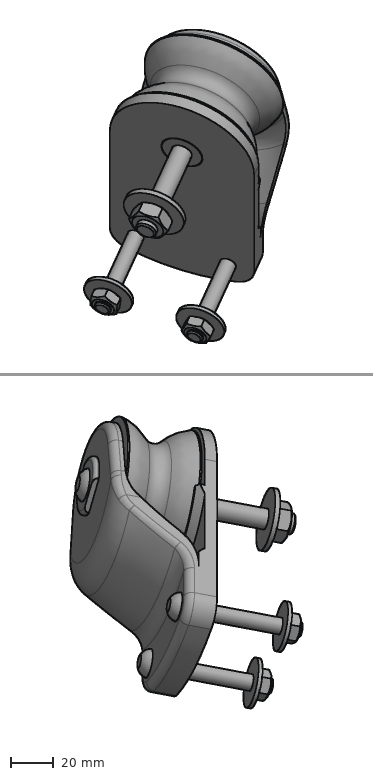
import cadquery as cq
import math


half_width = 36.0
overall_height = 131.5
plate_thickness = 6.0
corner_radius = 13.0
bolt_x = half_width - corner_radius
bolt_z = -79.0
bottom_z = half_width - overall_height

pad_height = 3.0
pad_top_z = -51.6
pad_face_y = plate_thickness + pad_height

strap_thickness = 6.25
foot_outer_y = pad_face_y + strap_thickness
cover_outer_y = 50.75
cover_inner_y = cover_outer_y - strap_thickness
bend_inner_radius = 10.0
bend_outer_radius = bend_inner_radius + strap_thickness
bend_angle = math.radians(60)
upper_bend_radius = 36.4
cover_top_radius = 31.3
taper_corner_z = -21.9
taper_blend_radius = 78.0
cover_edge_fillet = 4.0

guard_height = 4.0
guard_inner_radius = 35.5
guard_base_radius = 41.3
guard_top_z = -15.0

sheave_mid_y = 25.1
groove_bottom_radius = 25.0
groove_radius = 7.25
groove_half_width = 5.3
rim_radius = 34.5
rim_land = 0.8
rim_half_width = 18.1
hub_radius = 27.0
hub_half_width = 18.7

spindle_diameter = 20.0
spindle_hole_diameter = 20.5
flange_diameter = 28.2
flange_thickness = 2.75
flange_edge_fillet = 2.0
flange_across_flats = 22.0
flange_flat_angle = 60.0

washer_y = -35.0
hex_corner_ratio = 2 / math.sqrt(3)
nut_bevel_angle = math.radians(30)
tip_chamfer = 0.8
dome_fullness = 0.62

spindle_bolt = dict(
    diameter=10.0, tip_y=-48.5, washer_diameter=30.0, washer_thickness=2.5,
    nut_flats=17.0, nut_face_diameter=15.6, nut_height=8.0,
    head_radius=8.0, head_flat_radius=3.7, head_height=3.5,
)
foot_bolt = dict(
    diameter=8.0, tip_y=-45.0, washer_diameter=24.0, washer_thickness=2.0,
    nut_flats=13.0, nut_face_diameter=11.0, nut_height=6.5,
    head_radius=7.0, head_flat_radius=3.2, head_height=4.5,
)
spindle_nut_turn = 0.0
left_nut_turn = 33.5
right_nut_turn = -10.0


def cylinder(diameter, start_y, end_y, x=0.0, z=0.0):
    """Round bar along Y between two Y positions."""
    bar = cq.Workplane("XZ").circle(diameter / 2).extrude(-(end_y - start_y))
    return bar.translate((x, start_y, z))


def turned(profile):
    """Revolve an outline drawn as (radius, Y) about the sheave axis."""
    return profile.close().revolve(360, (0, 0, 0), (0, 1, 0))


def close_bottom(outline):
    """Finish an outline standing at the right side: rounded corners and a large bottom arc."""
    rise = bolt_z - bottom_z
    bottom_radius = (bolt_x**2 + rise**2 - corner_radius**2) / (2 * (rise - corner_radius))
    bottom_center_z = bottom_z + bottom_radius
    lean = math.atan2(bolt_x, bottom_center_z - bolt_z)
    joint_x = bolt_x + corner_radius * math.sin(lean)
    joint_z = bolt_z - corner_radius * math.cos(lean)
    middle = (math.pi / 2 - lean) / 2
    middle_x = bolt_x + corner_radius * math.cos(middle)
    middle_z = bolt_z - corner_radius * math.sin(middle)
    return (
        outline.lineTo(half_width, bolt_z)
        .threePointArc((middle_x, middle_z), (joint_x, joint_z))
        .threePointArc((0, bottom_z), (-joint_x, joint_z))
        .threePointArc((-middle_x, middle_z), (-half_width, bolt_z))
        .close()
    )


def make_plate():
    outline = cq.Workplane("XZ").moveTo(-half_width, 0)
    outline = outline.threePointArc((0, half_width), (half_width, 0))
    plate = close_bottom(outline).extrude(-plate_thickness)
    return plate.cut(cylinder(spindle_hole_diameter, 0, plate_thickness))


def make_pad():
    outline = cq.Workplane("XZ").moveTo(-half_width, pad_top_z).lineTo(half_width, pad_top_z)
    pad = close_bottom(outline).extrude(-pad_height).translate((0, plate_thickness, 0))
    slope = (
        cq.Workplane("YZ")
        .moveTo(plate_thickness, pad_top_z)
        .lineTo(pad_face_y, pad_top_z)
        .lineTo(pad_face_y, pad_top_z - pad_height)
        .close()
        .extrude(half_width, both=True)
    )
    return pad.cut(slope)


def make_guard():
    guard = turned(
        cq.Workplane("XY")
        .moveTo(guard_inner_radius, plate_thickness)
        .lineTo(guard_base_radius, plate_thickness)
        .lineTo(guard_base_radius - guard_height, plate_thickness + guard_height)
        .lineTo(guard_inner_radius, plate_thickness + guard_height)
    )
    keep = cq.Workplane("XY").box(
        2 * half_width, cover_outer_y, guard_base_radius + guard_top_z, centered=(True, False, False)
    )
    return guard.intersect(keep.translate((0, 0, -guard_base_radius)))


def make_cover():
    sine = math.sin(bend_angle)
    cosine = math.cos(bend_angle)
    half_sine = math.sin(bend_angle / 2)
    half_cosine = math.cos(bend_angle / 2)
    upper_center_y = cover_outer_y - bend_outer_radius
    lower_center_y = foot_outer_y + bend_inner_radius
    bend_sum = bend_inner_radius + bend_outer_radius
    slope_drop = upper_center_y - lower_center_y + bend_sum * cosine
    lower_bend_radius = upper_bend_radius + bend_sum * sine + slope_drop * cosine / sine

    def upper(radius, s, c):
        return upper_bend_radius + radius * s, upper_center_y + radius * c

    def lower(radius, s, c):
        return lower_bend_radius - radius * s, lower_center_y - radius * c

    strap_end = overall_height
    strap = turned(
        cq.Workplane("XY")
        .moveTo(0, cover_outer_y)
        .lineTo(upper_bend_radius, cover_outer_y)
        .threePointArc(
            upper(bend_outer_radius, half_sine, half_cosine), upper(bend_outer_radius, sine, cosine)
        )
        .lineTo(*lower(bend_inner_radius, sine, cosine))
        .threePointArc(lower(bend_inner_radius, half_sine, half_cosine), (lower_bend_radius, foot_outer_y))
        .lineTo(strap_end, foot_outer_y)
        .lineTo(strap_end, pad_face_y)
        .lineTo(lower_bend_radius, pad_face_y)
        .threePointArc(
            lower(bend_outer_radius, half_sine, half_cosine), lower(bend_outer_radius, sine, cosine)
        )
        .lineTo(*upper(bend_inner_radius, sine, cosine))
        .threePointArc(
            upper(bend_inner_radius, half_sine, half_cosine), (upper_bend_radius, cover_inner_y)
        )
        .lineTo(0, cover_inner_y)
    )

    corner_distance = math.hypot(half_width, taper_corner_z)
    taper = math.acos(cover_top_radius / corner_distance) + math.atan2(taper_corner_z, half_width)
    touch_x = cover_top_radius * math.cos(taper)
    touch_z = cover_top_radius * math.sin(taper)
    blend_center_x = half_width - taper_blend_radius
    blend_start_z = taper_corner_z - taper_blend_radius * math.tan(taper / 2)

    def blend_point(angle):
        return (
            blend_center_x + taper_blend_radius * math.cos(angle),
            blend_start_z + taper_blend_radius * math.sin(angle),
        )

    blend_mid_x, blend_mid_z = blend_point(taper / 2)
    blend_end_x, blend_end_z = blend_point(taper)
    outline = (
        cq.Workplane("XZ")
        .moveTo(-half_width, blend_start_z)
        .threePointArc((-blend_mid_x, blend_mid_z), (-blend_end_x, blend_end_z))
        .lineTo(-touch_x, touch_z)
        .threePointArc((0, cover_top_radius), (touch_x, touch_z))
        .lineTo(blend_end_x, blend_end_z)
        .threePointArc((blend_mid_x, blend_mid_z), (half_width, blend_start_z))
    )
    cover = strap.intersect(close_bottom(outline).extrude(-cover_outer_y))
    return cover.faces(">Y").edges(">Z").fillet(cover_edge_fillet)


def make_sheave():
    arc_end = rim_half_width - rim_land
    groove_center = groove_bottom_radius + groove_radius
    half_angle = math.asin(groove_half_width / groove_radius)
    edge_radius = groove_center - groove_radius * math.cos(half_angle)
    chord_y = arc_end - groove_half_width
    chord_r = rim_radius - edge_radius
    chord = math.hypot(chord_y, chord_r)
    half_turn = half_angle - math.atan2(chord_r, chord_y)
    bulge = chord / 2 * math.tan(half_turn / 2)
    flank_y = (groove_half_width + arc_end) / 2 - bulge * chord_r / chord
    flank_r = (edge_radius + rim_radius) / 2 + bulge * chord_y / chord
    sheave = turned(
        cq.Workplane("XY")
        .moveTo(0, -hub_half_width)
        .lineTo(hub_radius, -hub_half_width)
        .lineTo(hub_radius, -rim_half_width)
        .lineTo(rim_radius, -rim_half_width)
        .lineTo(rim_radius, -arc_end)
        .threePointArc((flank_r, -flank_y), (edge_radius, -groove_half_width))
        .threePointArc((groove_bottom_radius, 0), (edge_radius, groove_half_width))
        .threePointArc((flank_r, flank_y), (rim_radius, arc_end))
        .lineTo(rim_radius, rim_half_width)
        .lineTo(hub_radius, rim_half_width)
        .lineTo(hub_radius, hub_half_width)
        .lineTo(0, hub_half_width)
    )
    return sheave.translate((0, sheave_mid_y, 0))


def make_spindle():
    spindle = cylinder(spindle_diameter, 0, cover_outer_y)
    flange_end_y = cover_outer_y + flange_thickness
    flange = cylinder(flange_diameter, cover_outer_y, flange_end_y)
    flange = flange.faces(">Y").edges().fillet(flange_edge_fillet)
    flats = cq.Workplane("XY").box(flange_across_flats, 2 * flange_end_y, flange_diameter)
    flats = flats.rotate((0, 0, 0), (0, 1, 0), -flange_flat_angle)
    return spindle.union(flange.intersect(flats))


def make_nut(flats, face_diameter, height, end_y, turn):
    """Hexagon nut ending at end_y, with corners bevelled at 30 degrees on both faces."""
    corner_diameter = flats * hex_corner_ratio
    bevel = (corner_diameter - face_diameter) / 2
    bevel_height = bevel * math.tan(nut_bevel_angle)
    nut = cq.Workplane("XZ").polygon(6, corner_diameter).extrude(-height)
    nut = nut.rotate((0, 0, 0), (0, 1, 0), turn)
    blank = turned(
        cq.Workplane("XY")
        .lineTo(face_diameter / 2, 0)
        .lineTo(corner_diameter / 2, bevel_height)
        .lineTo(corner_diameter / 2, height - bevel_height)
        .lineTo(face_diameter / 2, height)
        .lineTo(0, height)
    )
    return nut.intersect(blank).translate((0, end_y, 0))


def make_bolt(size, head_y, x, z, nut_turn):
    """Domed bolt with its head seated at head_y, plus washer and nut."""
    head_top_y = head_y + size["head_height"]
    bolt = cylinder(size["diameter"], size["tip_y"], head_y)
    bolt = bolt.faces("<Y").edges().chamfer(tip_chamfer)
    dome_width = size["head_radius"] - size["head_flat_radius"]
    head = turned(
        cq.Workplane("XY")
        .moveTo(0, head_y)
        .lineTo(size["head_radius"], head_y)
        .threePointArc(
            (
                size["head_flat_radius"] + dome_width * dome_fullness,
                head_y + size["head_height"] * dome_fullness,
            ),
            (size["head_flat_radius"], head_top_y),
        )
        .lineTo(0, head_top_y)
    )
    nut_y = washer_y - size["washer_thickness"]
    washer = cylinder(size["washer_diameter"], nut_y, washer_y)
    nut = make_nut(
        size["nut_flats"],
        size["nut_face_diameter"],
        size["nut_height"],
        nut_y - size["nut_height"],
        nut_turn,
    )
    return bolt.union(head).union(washer).union(nut).translate((x, 0, z))


result = make_plate().union(make_pad()).union(make_guard()).union(make_cover())
result = result.union(make_spindle()).union(make_sheave())
flange_y = cover_outer_y + flange_thickness
result = result.union(make_bolt(spindle_bolt, flange_y, 0, 0, spindle_nut_turn))
result = result.union(make_bolt(foot_bolt, foot_outer_y, -bolt_x, bolt_z, left_nut_turn))
result = result.union(make_bolt(foot_bolt, foot_outer_y, bolt_x, bolt_z, right_nut_turn))